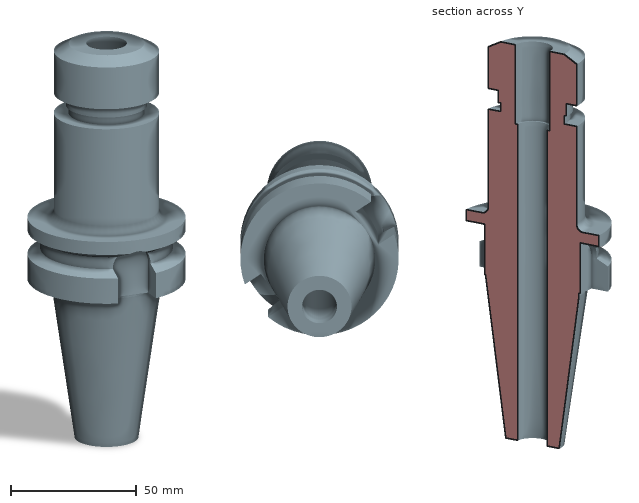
import cadquery as cq

total_height = 165.4
gauge_z = 65.5
flange_bottom_z = 66.5
flange_top_z = 92.5
nut_bottom_z = 144.7
body_top_z = 136.3
collar_bottom_z = 139.6

taper_small_radius = 12.7
taper_large_radius = 22.2

rim_diameter = 63.0
rim_radius = rim_diameter / 2
groove_radius = 26.5
lower_rim_height = 10.6
groove_floor_bottom_z = 79.4
groove_floor_height = 5.0
upper_rim_height = 5.5

body_radius = 21.0
body_fillet = 3.0
neck_radius = 15.2
collar_radius = 16.2
nut_top_radius = 15.0
nut_chamfer_height = 3.1

slot_width = 16.4
slot_top_z = 87.7
slot_floor_distance = 22.7

collet_bore_radius = 8.1
collet_bore_depth = 33.0
drawbar_bore_radius = 7.0


def make_turned_holder():
    """Revolve the outer half profile about the Z axis."""
    fillet_outer_radius = body_radius + body_fillet
    profile = (
        cq.Workplane("XZ")
        .moveTo(0, 0)
        .lineTo(taper_small_radius, 0)
        .lineTo(taper_large_radius, gauge_z)
        .lineTo(taper_large_radius, flange_bottom_z)
        .lineTo(rim_radius, flange_bottom_z)
        .lineTo(rim_radius, flange_bottom_z + lower_rim_height)
        .lineTo(groove_radius, groove_floor_bottom_z)
        .lineTo(groove_radius, groove_floor_bottom_z + groove_floor_height)
        .lineTo(rim_radius, flange_top_z - upper_rim_height)
        .lineTo(rim_radius, flange_top_z)
        .lineTo(fillet_outer_radius, flange_top_z)
        .radiusArc((body_radius, flange_top_z + body_fillet), body_fillet)
        .lineTo(body_radius, body_top_z)
        .lineTo(neck_radius, body_top_z)
        .lineTo(neck_radius, collar_bottom_z)
        .lineTo(collar_radius, collar_bottom_z)
        .lineTo(collar_radius, nut_bottom_z)
        .lineTo(body_radius, nut_bottom_z)
        .lineTo(body_radius, total_height - nut_chamfer_height)
        .lineTo(nut_top_radius, total_height)
        .lineTo(0, total_height)
        .close()
    )
    return profile.revolve(360, (0, 0, 0), (0, 1, 0))


def make_drive_slot(side):
    """Round-topped cutter, open at the flange bottom; side is +1 or -1 along X."""
    half_width = slot_width / 2
    arc_center_z = slot_top_z - half_width
    cut_depth = rim_radius - slot_floor_distance
    return (
        cq.Workplane("YZ")
        .workplane(offset=side * slot_floor_distance)
        .moveTo(-half_width, flange_bottom_z)
        .lineTo(half_width, flange_bottom_z)
        .lineTo(half_width, arc_center_z)
        .threePointArc((0, slot_top_z), (-half_width, arc_center_z))
        .close()
        .extrude(side * cut_depth)
    )


def make_bore():
    """Narrow drawbar bore through the part, widened for the collet at the top."""
    drawbar_bore = cq.Workplane("XY").circle(drawbar_bore_radius).extrude(total_height)
    collet_bore = (
        cq.Workplane("XY")
        .workplane(offset=total_height - collet_bore_depth)
        .circle(collet_bore_radius)
        .extrude(collet_bore_depth)
    )
    return drawbar_bore.union(collet_bore)


holder = make_turned_holder()
for side in (-1, 1):
    holder = holder.cut(make_drive_slot(side))

result = holder.cut(make_bore())